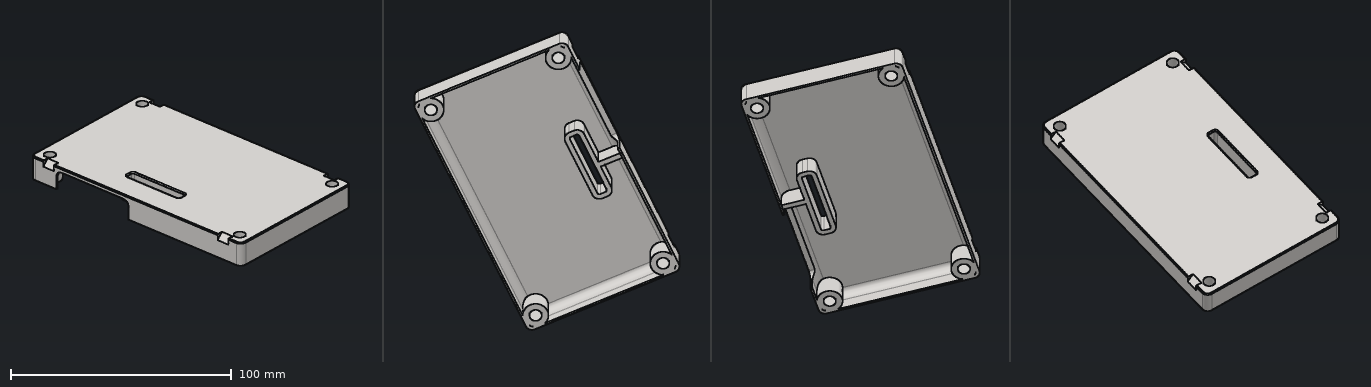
import cadquery as cq

length = 127
width = 76.2
height = 12.0
corner_radius = 3.0
top_chamfer = 0.5

wall = 1.0
ceiling_z = 10.2
ceiling_fillet = 4.0
cavity_corner_radius = 4.1

hole_diameter = 5.6
hole_inset = 6.4
post_wall = 3.0

slot_length = 31.8
slot_width = 4.6
slot_x = -2.3
slot_y = -21.6
slot_corner_radius = 1.0
slot_chamfer = 0.6
collar_wall = 2.4
collar_bottom_z = 0.4

rib_left_x = -1.5
rib_thickness = 2.5

notch_length = 6.4
notch_depth = 3.0
notch_x = 52.5

window_left_x = -47.8
window_right_x = -4.3
window_top_z = 9.7
window_corner_radius = 3.0


def rounded_block(size_x, size_y, bottom_z, top_z, radius):
    """Upright block centred on the Z axis with rounded vertical edges."""
    block = cq.Workplane("XY").workplane(offset=bottom_z).rect(size_x, size_y).extrude(top_z - bottom_z)
    return block.edges("|Z").fillet(radius)


def make_shell():
    outside = rounded_block(length, width, 0, height, corner_radius).faces(">Z").chamfer(top_chamfer)
    cavity = rounded_block(
        length - 2 * wall, width - 2 * wall, 0, ceiling_z, cavity_corner_radius
    )
    return outside.cut(cavity.faces(">Z").edges().fillet(ceiling_fillet))


def make_window():
    window_length = window_right_x - window_left_x
    cut_depth = width / 2 + slot_y - slot_width / 2 - collar_wall
    window = cq.Workplane("XY").box(window_length, cut_depth, window_top_z, centered=False)
    window = window.edges("|Y and >Z").fillet(window_corner_radius)
    return window.translate((window_left_x, -width / 2, 0))


def make_notches():
    """Triangular prisms that bevel short stretches of both long top edges."""
    notches = cq.Workplane("XY")
    for side in (-1, 1):
        edge_y = side * width / 2
        for x in (-notch_x, notch_x):
            prism = (
                cq.Workplane("YZ")
                .workplane(offset=x - notch_length / 2)
                .moveTo(edge_y, height)
                .lineTo(edge_y - side * notch_depth, height)
                .lineTo(edge_y, height - notch_depth)
                .close()
                .extrude(notch_length)
            )
            notches = notches.add(prism)
    return notches.combine()


def at_hole_centres(diameter, top_z):
    """Upright cylinders at the four screw positions."""
    spacing_x = length - 2 * hole_inset
    spacing_y = width - 2 * hole_inset
    centres = cq.Workplane("XY").rect(spacing_x, spacing_y, forConstruction=True).vertices()
    return centres.circle(diameter / 2).extrude(top_z)


def make_collar():
    collar = rounded_block(
        slot_length + 2 * collar_wall,
        slot_width + 2 * collar_wall,
        collar_bottom_z,
        ceiling_z,
        slot_corner_radius + collar_wall,
    )
    return collar.translate((slot_x, slot_y, 0))


def make_rib():
    rib_front_y = -width / 2 + wall / 2
    rib_size = (rib_thickness, slot_y - slot_width / 2 - rib_front_y, ceiling_z - collar_bottom_z)
    rib = cq.Workplane("XY").box(*rib_size, centered=False)
    return rib.translate((rib_left_x, rib_front_y, collar_bottom_z))


def make_slot():
    """Slot cutter, widened at the top by the chamfer around its mouth."""
    slot = rounded_block(
        slot_length + 2 * slot_chamfer,
        slot_width + 2 * slot_chamfer,
        height - slot_chamfer,
        height + slot_chamfer,
        slot_corner_radius + slot_chamfer,
    )
    slot = slot.faces("<Z").chamfer(slot_chamfer)
    shaft = rounded_block(slot_length, slot_width, 0, height, slot_corner_radius)
    return slot.union(shaft).translate((slot_x, slot_y, 0))


result = make_shell()
result = result.cut(make_window())
result = result.union(at_hole_centres(hole_diameter + 2 * post_wall, ceiling_z))
result = result.union(make_collar())
result = result.union(make_rib())
result = result.cut(at_hole_centres(hole_diameter, height))
result = result.cut(make_slot())
result = result.cut(make_notches())